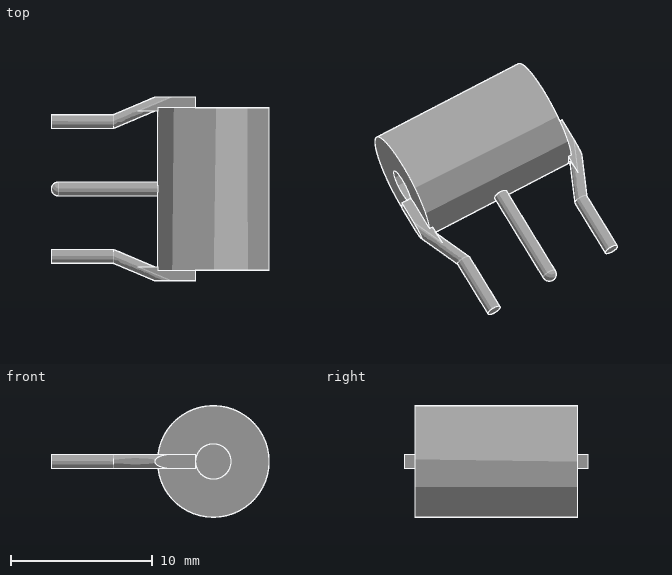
import cadquery as cq

body_diameter = 7.9
body_length = 11.5
body_radius = body_diameter / 2
recess_diameter = 2.5
recess_depth = 0.6

lead_diameter = 1.0
lead_radius = lead_diameter / 2
overall_length = 15.4
overall_width = 13.0
tip_x = body_radius - overall_length

straight_y = 4.76
straight_length = 4.39
crank_run = 4.11
lead_outer_y = overall_width / 2
lead_inner_y = lead_outer_y - lead_diameter
bend_x = tip_x + straight_length
crank_end_x = bend_x + crank_run
lead_end_x = -recess_diameter / 2


def drum():
    """Solid drum with a shallow round recess in each end face."""
    solid = cq.Workplane("XZ").circle(body_radius).extrude(body_length / 2, both=True)
    floor_y = body_length / 2 - recess_depth
    for direction in (-1, 1):
        recess = (
            cq.Workplane("XZ", origin=(0, direction * floor_y, 0))
            .circle(recess_diameter / 2)
            .extrude(-direction * recess_depth)
        )
        solid = solid.cut(recess)
    return solid


def centre_pin():
    """Straight round pin with a hemispherical tip, ending on the drum axis."""
    dome_x = tip_x + lead_radius
    shank = cq.Workplane("YZ", origin=(dome_x, 0, 0)).circle(lead_radius).extrude(-dome_x)
    dome = cq.Workplane("XY", origin=(dome_x, 0, 0)).sphere(lead_radius)
    return shank.union(dome)


def cranked_lead():
    """Lead on the +Y side: round leg, slanted round crank, then a square foot on the end face."""
    leg = (
        cq.Workplane("YZ", origin=(tip_x, straight_y, 0))
        .circle(lead_radius)
        .extrude(straight_length)
    )
    crank = (
        cq.Workplane("YZ", origin=(bend_x, straight_y, 0))
        .circle(lead_radius)
        .workplane(offset=crank_run)
        .center(lead_outer_y - straight_y, 0)
        .circle(lead_radius)
        .loft(ruled=True)
    )
    beyond_foot = (
        cq.Workplane("XY")
        .box(overall_length, lead_diameter, body_diameter, centered=(True, False, True))
        .translate((bend_x, lead_outer_y, 0))
    )
    crank = crank.cut(beyond_foot)
    slope = (lead_outer_y - straight_y) / crank_run
    foot_start_x = crank_end_x - lead_diameter / slope
    foot = (
        cq.Workplane("XY")
        .moveTo(foot_start_x, lead_inner_y)
        .lineTo(crank_end_x, lead_outer_y)
        .lineTo(lead_end_x, lead_outer_y)
        .lineTo(lead_end_x, lead_inner_y)
        .close()
        .extrude(lead_radius, both=True)
    )
    return leg.union(crank).union(foot)


lead = cranked_lead()
result = drum().union(centre_pin()).union(lead).union(lead.mirror("XZ"))